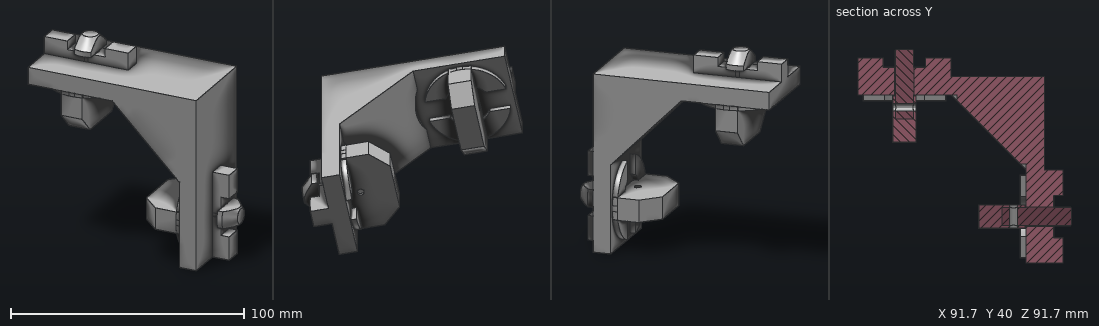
import cadquery as cq

leg_length = 80.05
leg_width = 40.0
leg_thickness = 8.0
clamp_offset = leg_width / 2

ridge_width = leg_thickness
ridge_height = 8.0
ridge_length = leg_width
notch_length = 18.0
notch_depth = ridge_height / 2

overall_size = 91.7
running_gap = 0.3
shaft_diameter = 8.0
shaft_hole_diameter = 8.2
head_diameter = 17.0
head_rim_height = 2.4
head_bottom = ridge_height - notch_depth + running_gap
head_height = overall_size - leg_length - head_bottom
head_cone_height = head_height - head_rim_height
head_width = shaft_diameter

pad_diameter = 36.9
pad_thickness = 2.5
pad_bore_diameter = 20.0
pad_slot_width = 10.1
pad_bottom = -leg_thickness - pad_thickness

bar_length = 36.8
bar_width = pad_slot_width
bar_height = 20.0
bar_chamfer_length = 7.8
bar_chamfer_height = 8.0
bar_top = -leg_thickness - running_gap
pin_hole_diameter = 3.0
pin_hole_depth = 5.0
shaft_end = bar_top - 2 * pin_hole_depth

clearance_diameter = 45.0

clamp_places = [
    cq.Location(cq.Plane((clamp_offset, 0, leg_length), (1, 0, 0), (0, 0, 1))),
    cq.Location(cq.Plane((leg_length, 0, clamp_offset), (0, 0, -1), (1, 0, 0))),
]


def cylinder(diameter, bottom, top):
    return cq.Workplane("XY").workplane(offset=bottom).circle(diameter / 2).extrude(top - bottom)


def box(length, width, bottom, top):
    return cq.Workplane("XY").workplane(offset=bottom).rect(length, width).extrude(top - bottom)


def placed(body, place):
    return cq.Workplane(body.val().moved(place))


def make_ridge():
    ridge = box(ridge_length, ridge_width, 0, ridge_height)
    notch = box(notch_length, ridge_width, ridge_height - notch_depth, ridge_height)
    return ridge.cut(notch)


def make_pads():
    """Disc split into two segments by a slot along local X, with its center bored out."""
    disc = cylinder(pad_diameter, pad_bottom, -leg_thickness)
    bore = cylinder(pad_bore_diameter, pad_bottom, -leg_thickness)
    slot = box(pad_diameter, pad_slot_width, pad_bottom, -leg_thickness)
    return disc.cut(bore).cut(slot)


def make_bracket():
    inner = leg_length - leg_thickness
    outline = [
        (0, leg_length),
        (leg_length, leg_length),
        (leg_length, 0),
        (inner, 0),
        (inner, leg_width),
        (leg_width, inner),
        (0, inner),
    ]
    bracket = cq.Workplane("XZ").polyline(outline).close().extrude(leg_width / 2, both=True)
    clearance = cylinder(clearance_diameter, -leg_length, -leg_thickness)
    shaft_hole = cylinder(shaft_hole_diameter, -leg_thickness, ridge_height)
    for place in clamp_places:
        bracket = bracket.cut(placed(clearance, place))
        bracket = bracket.union(placed(make_ridge(), place))
        bracket = bracket.union(placed(make_pads(), place))
        bracket = bracket.cut(placed(shaft_hole, place))
    return bracket


def make_pin_hole():
    """Cross hole through the bar and the shaft, along local X."""
    return (
        cq.Workplane("YZ")
        .center(0, bar_top - pin_hole_depth)
        .circle(pin_hole_diameter / 2)
        .extrude(bar_width, both=True)
    )


def make_bolt():
    head = (
        cylinder(head_diameter, head_bottom, head_bottom + head_height)
        .faces(">Z")
        .chamfer(head_cone_height)
        .intersect(box(head_width, head_diameter, head_bottom, head_bottom + head_height))
    )
    shaft = cylinder(shaft_diameter, shaft_end, head_bottom)
    return head.union(shaft).cut(make_pin_hole())


def make_handle():
    half_length = bar_length / 2
    bar_bottom = bar_top - bar_height
    outline = [
        (-half_length, bar_top),
        (half_length, bar_top),
        (half_length, bar_bottom + bar_chamfer_height),
        (half_length - bar_chamfer_length, bar_bottom),
        (bar_chamfer_length - half_length, bar_bottom),
        (-half_length, bar_bottom + bar_chamfer_height),
    ]
    bar = cq.Workplane("YZ").polyline(outline).close().extrude(bar_width / 2, both=True)
    shaft_bore = cylinder(shaft_diameter, shaft_end, bar_top)
    return bar.cut(make_pads()).cut(shaft_bore).cut(make_pin_hole())


bracket = make_bracket()
bolts = [make_bolt().val().moved(place) for place in clamp_places]
handles = [make_handle().val().moved(place) for place in clamp_places]

result = cq.Compound.makeCompound([bracket.val(), *bolts, *handles])